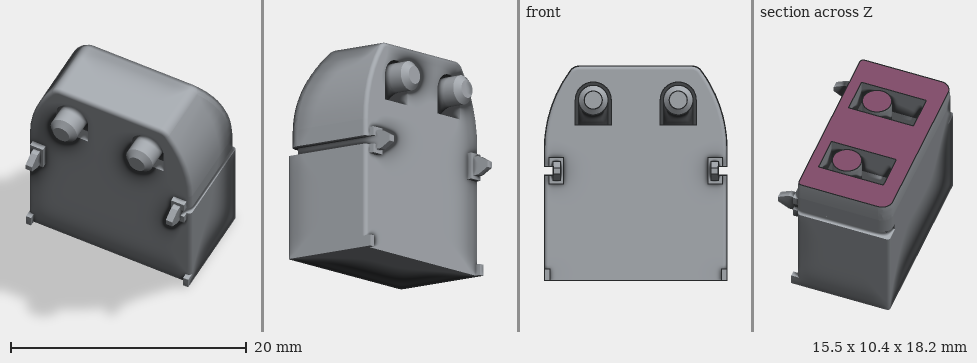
import cadquery as cq
import math

width = 15.5
depth = 8.4
height = 18.2
half_width = width / 2
shoulder_z = 11.1
lean_in = 2.51
lean_rise = height - shoulder_z
lean_radius = (lean_in**2 + lean_rise**2) / (2 * lean_in)

upper_fillet = 1.0
lower_fillet = 0.25
front_fillet = 0.35
standoff = 0.5

slot_bottom = 8.94
slot_top = 9.66
slot_mid_z = (slot_bottom + slot_top) / 2
leg_inset = 0.75
leg_thickness = 0.62
leg_back_gap = 0.51
slot_depth = leg_inset + leg_thickness

front_reach = 1.98
prong_height = 1.6
prong_tip_height = 0.53
prong_straight = 1.0
pad_inset = 0.4
pad_width = 1.24
pad_height = 2.25

foot_width = 0.5
foot_height = 0.96

pin_x = 3.6
pin_z = 15.3
pin_radius = 1.25
pin_chamfer = 0.5
pin_bend_radius = 3.0
recess_radius = 1.53
recess_sill_z = 13.2
sill_depth = 1.0
recess_floor_z = 10.01
recess_depth = 6.85


def box(x_min, x_max, y_min, y_max, z_min, z_max):
    return (
        cq.Workplane("XY")
        .box(x_max - x_min, y_max - y_min, z_max - z_min, centered=False)
        .translate((x_min, y_min, z_min))
    )


def on_both_sides(right_half_feature):
    return right_half_feature.union(right_half_feature.mirror("YZ"))


def make_upper_body():
    half_turn = math.asin(lean_rise / lean_radius) / 2
    mid_in = lean_radius * (1 - math.cos(half_turn))
    mid_z = shoulder_z + lean_radius * math.sin(half_turn)

    front_outline = (
        cq.Workplane("XZ")
        .moveTo(-half_width, slot_bottom)
        .lineTo(half_width, slot_bottom)
        .lineTo(half_width, shoulder_z)
        .threePointArc((half_width - mid_in, mid_z), (half_width - lean_in, height))
        .lineTo(lean_in - half_width, height)
        .threePointArc((mid_in - half_width, mid_z), (-half_width, shoulder_z))
        .close()
        .extrude(-depth)
    )
    side_outline = (
        cq.Workplane("YZ")
        .moveTo(0, slot_bottom)
        .lineTo(depth, slot_bottom)
        .lineTo(depth, shoulder_z)
        .threePointArc((depth - mid_in, mid_z), (depth - lean_in, height))
        .lineTo(0, height)
        .close()
        .extrude(half_width, both=True)
    )
    body = front_outline.intersect(side_outline)

    return body.edges("(|Z and >Y) or (>Z and (not <Y))").fillet(upper_fillet)


def make_lower_body():
    body = box(-half_width, half_width, 0, depth, 0, slot_bottom)
    return body.edges("|Z and >Y").fillet(lower_fillet)


def make_foot():
    return box(half_width - foot_width, half_width, -standoff, front_fillet, 0, foot_height)


def make_slot():
    return box(half_width - slot_depth, half_width, -standoff, depth, slot_bottom, slot_top)


def make_pad():
    pad_outer_x = half_width - pad_inset
    pad_bottom = slot_mid_z - pad_height / 2
    return box(
        pad_outer_x - pad_width, pad_outer_x, -standoff, front_fillet, pad_bottom, pad_bottom + pad_height
    )


def make_clip():
    leg_inner_x = half_width - slot_depth
    leg = box(
        leg_inner_x, leg_inner_x + leg_thickness, -standoff, depth - leg_back_gap, slot_bottom, slot_top
    )
    prong = (
        cq.Workplane("YZ", origin=(leg_inner_x, 0, slot_mid_z))
        .moveTo(0, -prong_height / 2)
        .lineTo(0, prong_height / 2)
        .lineTo(-prong_straight, prong_height / 2)
        .lineTo(-front_reach, prong_tip_height / 2)
        .lineTo(-front_reach, -prong_tip_height / 2)
        .lineTo(-prong_straight, -prong_height / 2)
        .close()
        .extrude(leg_thickness)
    )
    return leg.union(prong)


def make_recess():
    arch = (
        cq.Workplane("XZ")
        .moveTo(pin_x - recess_radius, recess_sill_z)
        .lineTo(pin_x + recess_radius, recess_sill_z)
        .lineTo(pin_x + recess_radius, pin_z)
        .threePointArc((pin_x, pin_z + recess_radius), (pin_x - recess_radius, pin_z))
        .close()
        .extrude(-recess_depth)
    )
    well = box(
        pin_x - recess_radius, pin_x + recess_radius, sill_depth, recess_depth, recess_floor_z, recess_sill_z
    )
    return arch.union(well)


def make_pin():
    straight = (
        cq.Workplane("XZ", origin=(pin_x, -front_reach, pin_z))
        .circle(pin_radius)
        .extrude(-front_reach)
        .faces("<Y")
        .chamfer(pin_chamfer)
    )
    bend = (
        cq.Workplane("XZ", origin=(pin_x, 0, pin_z))
        .circle(pin_radius)
        .revolve(90, (0.18, -pin_bend_radius, 0), (-0.18, -pin_bend_radius, 0))
    )
    root = (
        cq.Workplane("XY", origin=(pin_x, pin_bend_radius, recess_floor_z))
        .circle(pin_radius)
        .extrude(pin_z - pin_bend_radius - recess_floor_z)
    )
    return straight.union(bend).union(root)


body = make_lower_body().union(make_upper_body())
body = body.faces("<Y").edges("not(<Z)").fillet(front_fillet)

result = (
    body.union(on_both_sides(make_foot()))
    .union(on_both_sides(make_pad()))
    .cut(on_both_sides(make_slot()))
    .union(on_both_sides(make_clip()))
    .cut(on_both_sides(make_recess()))
    .union(on_both_sides(make_pin()))
)